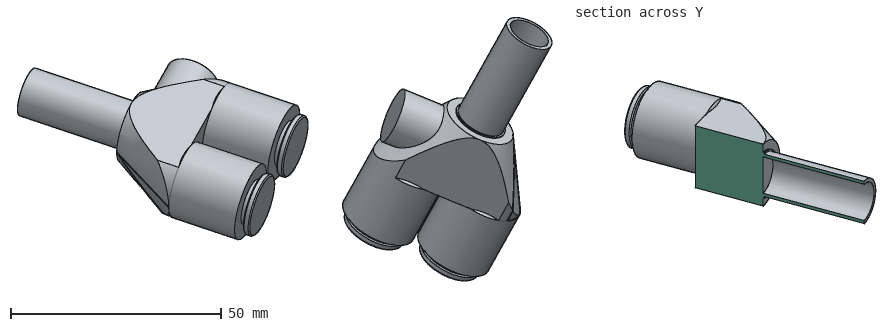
import cadquery as cq

stem_radius = 6.0
stem_bore_radius = 5.0
collar_radius = 6.45
collar_length = 0.3

body_start = 26.95
sleeve_start = 45.15
sleeve_end = 62.2
flange_start = 63.55
part_length = 65.25

part_width = 38.8
sleeve_radius = 9.495
sleeve_offset = part_width / 2 - sleeve_radius
sleeve_bevel_length = 0.5
sleeve_bevel_depth = 0.8
neck_radius = 5.6
flange_radius = 7.73
flange_edge_chamfer = 0.3

body_radius = 8.75
body_length = sleeve_start - body_start

port_radius = 6.8
port_center_x = 34.5

facet_depth = 0.2
facet_tip_x = 41.8
facet_drop = 7.3


def rod(radius, start, end, y=0.0):
    """Cylinder parallel to X between two X positions."""
    return cq.Workplane("YZ", origin=(start, y, 0)).circle(radius).extrude(end - start)


def make_body():
    """Cone widening from the stem to the sleeves, trimmed to their rounded outline."""
    cone = (
        cq.Workplane("XY")
        .moveTo(body_start, 0)
        .lineTo(body_start, body_radius)
        .lineTo(sleeve_start, part_width / 2)
        .lineTo(sleeve_start, 0)
        .close()
        .revolve(360, (0, 0, 0), (1, 0, 0))
    )
    envelope = (
        cq.Workplane("YZ", origin=(body_start, 0, 0))
        .slot2D(part_width, 2 * sleeve_radius)
        .extrude(body_length)
    )
    slab = cq.Workplane("XY").box(2 * part_length, part_width, 2 * body_radius)
    return cone.intersect(envelope).intersect(slab)


def recess_facet(body):
    """Sink the triangular facet below the -Y flank by an even depth."""
    skin = body.cut(body.translate((0, facet_depth, 0)))
    wedge = (
        cq.Workplane("XZ")
        .moveTo(body_start, 0)
        .lineTo(sleeve_start, 0)
        .lineTo(sleeve_start, -facet_drop)
        .lineTo(facet_tip_x, -facet_drop)
        .close()
        .extrude(part_width / 2)
    )
    return body.cut(skin.intersect(wedge))


def make_sleeve(y):
    """Sleeve with a beveled front edge, a neck and a release flange."""
    bevel_start = sleeve_start - sleeve_bevel_length
    sleeve = rod(sleeve_radius, sleeve_start, sleeve_end, y)
    bevel = (
        cq.Workplane("YZ", origin=(bevel_start, y, 0))
        .circle(sleeve_radius - sleeve_bevel_depth)
        .workplane(offset=sleeve_bevel_length)
        .circle(sleeve_radius)
        .loft()
    )
    neck = rod(neck_radius, sleeve_end, flange_start, y)
    flange = rod(flange_radius, flange_start, part_length, y).edges().chamfer(flange_edge_chamfer)
    return sleeve.union(bevel).union(neck).union(flange)


def make_port():
    """Side port from the body axis out to the full width of the part."""
    return (
        cq.Workplane("XZ", origin=(port_center_x, 0, 0))
        .circle(port_radius)
        .extrude(-part_width / 2)
    )


result = recess_facet(make_body()).union(make_port())
for side in (-1, 1):
    result = result.union(make_sleeve(side * sleeve_offset))

result = result.union(rod(collar_radius, body_start - collar_length, body_start))
result = result.union(rod(stem_radius, 0, body_start))
result = result.cut(rod(stem_bore_radius, 0, body_start))